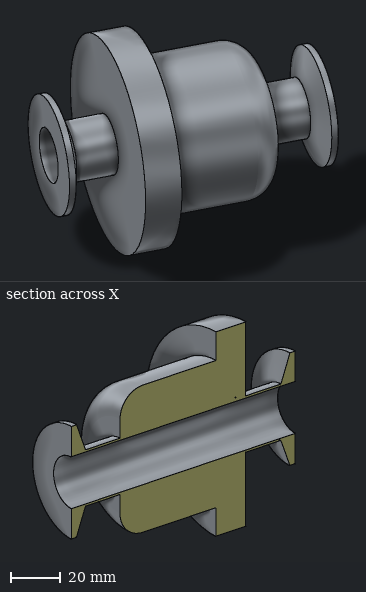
import cadquery as cq

total_length = 115.0
bore_diameter = 23.0

tube_diameter = 25.4
ferrule_diameter = 50.5
ferrule_rim = 2.9
ferrule_cone = 4.6

flange_diameter = 91.5
flange_thickness = 15.5
body_diameter = 66.0
body_length = 49.2
body_round = 12.0
front_tube_length = 25.3

flange_start = front_tube_length
body_start = flange_start + flange_thickness


def cylinder(diameter, start, length):
    """Solid cylinder along +Y, starting at the given Y position."""
    plane = cq.Workplane("XZ", origin=(0, start, 0))
    return plane.circle(diameter / 2).extrude(-length)


def front_ferrule():
    """Rim and cone of the front ferrule, tapering back to the tube."""
    rim_radius = ferrule_diameter / 2
    cone_end = ferrule_rim + ferrule_cone
    profile = (
        cq.Workplane("XY")
        .lineTo(rim_radius, 0)
        .lineTo(rim_radius, ferrule_rim)
        .lineTo(tube_diameter / 2, cone_end)
        .lineTo(0, cone_end)
        .close()
    )
    return profile.revolve(360, (0, 0, 0), (0, 1, 0))


def domed_body():
    """Cylindrical body with its rear edge rounded."""
    body = cylinder(body_diameter, body_start, body_length)
    return body.faces(">Y").edges().fillet(body_round)


ferrule = front_ferrule()
rear_ferrule = ferrule.mirror("XZ").translate((0, total_length, 0))

result = (
    cylinder(tube_diameter, 0, total_length)
    .union(ferrule)
    .union(rear_ferrule)
    .union(cylinder(flange_diameter, flange_start, flange_thickness))
    .union(domed_body())
    .cut(cylinder(bore_diameter, 0, total_length))
)